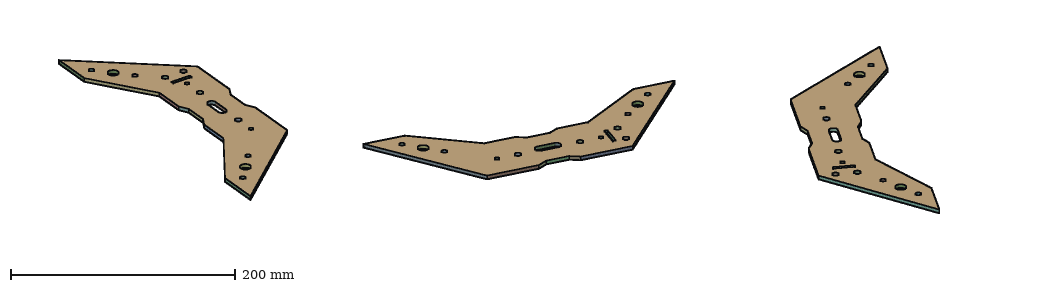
import cadquery as cq

length = 300.0
depth = 95.0
thickness = 4.0

foot_inner_x = 110.0
top_corner_x = 70.2
inner_corner_x = 50.0
inner_edge_y = 40.0
waist_outer_x = 20.0
waist_inner_x = 11.0
waist_step = 4.8

small_hole_diameter = 4.2
arm_hole_diameter = 5.0
bar_hole_diameter = 6.0
large_hole_diameter = 10.0
bar_hole_y = 70.0
small_hole_x = 50.0
bar_hole_x = 30.0
large_hole_x = 103.5
large_hole_y = 26.7
arm_hole_offset_x = 15.0
arm_hole_offset_y = 13.2

side_hole_x = -70.2
side_hole_half_spacing = 10.0
side_slot_x = -58.8
side_slot_width = 3.0
side_slot_length = 20.0

center_slot_length = 24.5
center_slot_width = 8.0
center_slot_y = 67.5


def mirrored(points):
    """Return the points followed by their mirror images about X = 0."""
    return points + [(-x, y) for x, y in reversed(points)]


def make_plate():
    right_half = [
        (waist_inner_x, inner_edge_y + waist_step),
        (waist_outer_x, inner_edge_y),
        (inner_corner_x, inner_edge_y),
        (foot_inner_x, 0),
        (length / 2, 0),
        (top_corner_x, depth),
        (waist_outer_x, depth),
        (waist_inner_x, depth - waist_step),
    ]
    return cq.Workplane("XY").polyline(mirrored(right_half)).close().extrude(thickness)


def cut_holes(body, points, diameter):
    cutters = cq.Workplane("XY").pushPoints(points).circle(diameter / 2).extrude(thickness)
    return body.cut(cutters)


def cut_slots(body):
    center_slot = (
        cq.Workplane("XY")
        .center(0, center_slot_y)
        .slot2D(center_slot_length, center_slot_width)
        .extrude(thickness)
    )
    side_slot = (
        cq.Workplane("XY")
        .center(side_slot_x, bar_hole_y)
        .rect(side_slot_width, side_slot_length)
        .extrude(thickness)
    )
    return body.cut(center_slot).cut(side_slot)


arm_holes = [
    (large_hole_x - arm_hole_offset_x, large_hole_y + arm_hole_offset_y),
    (large_hole_x + arm_hole_offset_x, large_hole_y - arm_hole_offset_y),
]
side_holes = [
    (side_hole_x, bar_hole_y - side_hole_half_spacing),
    (side_hole_x, bar_hole_y + side_hole_half_spacing),
]

result = make_plate()
result = cut_holes(result, mirrored([(small_hole_x, bar_hole_y)]), small_hole_diameter)
result = cut_holes(result, mirrored([(bar_hole_x, bar_hole_y)]), bar_hole_diameter)
result = cut_holes(result, mirrored([(large_hole_x, large_hole_y)]), large_hole_diameter)
result = cut_holes(result, mirrored(arm_holes), arm_hole_diameter)
result = cut_holes(result, side_holes, bar_hole_diameter)
result = cut_slots(result)